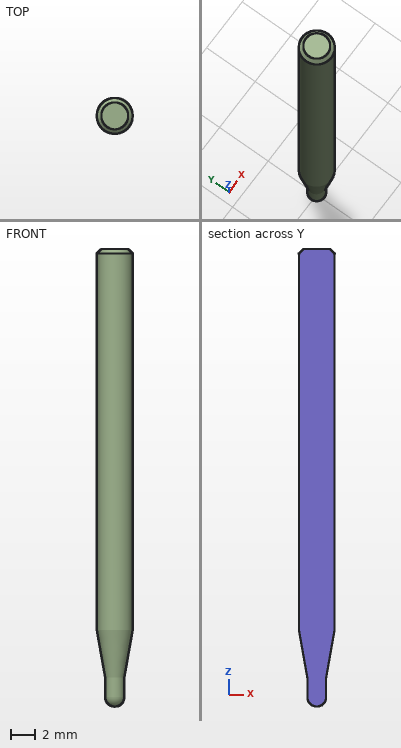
import cadquery as cq
import math

total_length = 38.0
shank_diameter = 3.0
ball_diameter = 1.6
neck_top_z = 2.4
taper_angle = 10.0
chamfer_size = 0.38

shank_radius = shank_diameter / 2
ball_radius = ball_diameter / 2
cone_length = (shank_radius - ball_radius) / math.tan(math.radians(taper_angle))
cone_top_z = neck_top_z + cone_length

arc_mid_x = ball_radius * math.sin(math.pi / 4)
arc_mid_z = ball_radius * (1 - math.cos(math.pi / 4))


def half_profile():
    """Closed half section in the XZ plane, from the ball tip up to the shank end."""
    return (
        cq.Workplane("XZ")
        .moveTo(0, 0)
        .threePointArc((arc_mid_x, arc_mid_z), (ball_radius, ball_radius))
        .lineTo(ball_radius, neck_top_z)
        .lineTo(shank_radius, cone_top_z)
        .lineTo(shank_radius, total_length - chamfer_size)
        .lineTo(shank_radius - chamfer_size, total_length)
        .lineTo(0, total_length)
        .close()
    )


axis_start = (0, 0, 0)
axis_end = (0, 1, 0)
result = half_profile().revolve(360, axis_start, axis_end)